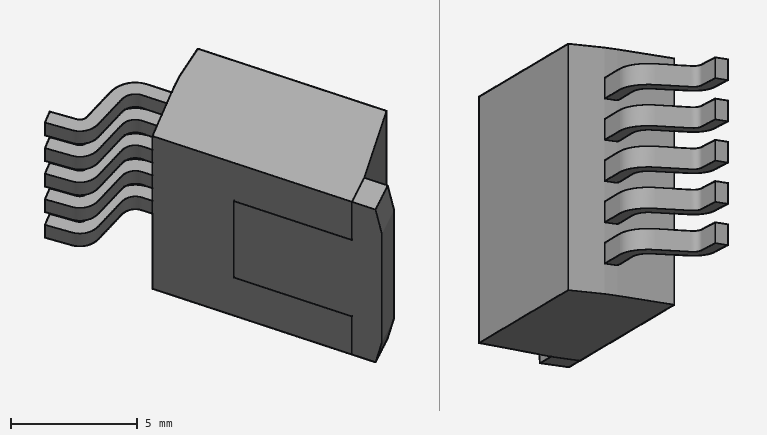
import cadquery as cq
import math


overall_length = 14.35
overall_thickness = 4.8
package_width = 10.16

housing_thickness = 4.65
housing_length = 8.64
housing_top_start = 0.16
housing_top_end = 8.21
housing_base_start = 0.13

slug_thickness = 1.28
tongue_start = 3.6
tongue_width = package_width / 2
tab_end = 9.92
tab_corner_start = 9.65
tab_end_width = 7.2

lead_count = 5
lead_row_span = 6.8
lead_pitch = lead_row_span / (lead_count - 1)
lead_width = 0.86
lead_thickness = 0.57
lead_bottom = 2.55
lead_top = lead_bottom + lead_thickness
lead_reach = tab_end - overall_length
foot_drop = overall_thickness - housing_thickness
shoulder_bend_x = -1.36
shoulder_inner_radius = 0.69
foot_inner_radius = 0.36
riser_lean = 15
foot_tilt = 3


def polar(center, radius, degrees):
    """Point at a distance and direction from a centre."""
    angle = math.radians(degrees)
    return (center[0] + radius * math.cos(angle), center[1] + radius * math.sin(angle))


def make_slug():
    """T-shaped plate: wide tab with tapered end corners, narrow tongue."""
    half_width = package_width / 2
    outline = [
        (tongue_start, -tongue_width / 2),
        (housing_length, -tongue_width / 2),
        (housing_length, -half_width),
        (tab_corner_start, -half_width),
        (tab_end, -tab_end_width / 2),
        (tab_end, tab_end_width / 2),
        (tab_corner_start, half_width),
        (housing_length, half_width),
        (housing_length, tongue_width / 2),
        (tongue_start, tongue_width / 2),
    ]
    return cq.Workplane("XZ").polyline(outline).close().extrude(-slug_thickness)


def make_housing(slug):
    """Drafted block with a recess for the slug tongue."""
    outline = [
        (housing_base_start, 0),
        (housing_length, 0),
        (housing_length, slug_thickness),
        (housing_top_end, housing_thickness),
        (housing_top_start, housing_thickness),
        (0, lead_top),
        (0, lead_bottom),
    ]
    block = cq.Workplane("XY").polyline(outline).close().extrude(package_width / 2, both=True)
    return block.cut(slug)


def make_lead(z_center):
    """Gull-wing lead of constant thickness: shoulder, leaning riser and tilted foot."""
    shoulder_outer_radius = shoulder_inner_radius + lead_thickness
    foot_outer_radius = foot_inner_radius + lead_thickness

    shoulder_start = 90
    shoulder_end = 180 - riser_lean
    shoulder_middle = (shoulder_start + shoulder_end) / 2
    foot_start = -riser_lean
    foot_end = foot_tilt - 90
    foot_middle = (foot_start + foot_end) / 2

    tip_bottom = (lead_reach + lead_thickness * math.sin(math.radians(foot_tilt)), -foot_drop)
    tip_top = polar(tip_bottom, lead_thickness, foot_tilt + 90)

    shoulder_center = (shoulder_bend_x, lead_bottom - shoulder_inner_radius)
    above_tip = polar(tip_bottom, foot_outer_radius, foot_tilt + 90)
    toward_riser = polar((0, 0), 1, shoulder_end)
    center_gap = shoulder_inner_radius + foot_outer_radius
    tip_gap = (
        (above_tip[0] - shoulder_center[0]) * toward_riser[0]
        + (above_tip[1] - shoulder_center[1]) * toward_riser[1]
    )
    foot_length = (tip_gap - center_gap) / math.cos(math.radians(shoulder_end - 180 - foot_tilt))
    foot_center = polar(above_tip, foot_length, foot_tilt)

    profile = (
        cq.Workplane("XY", origin=(0, 0, z_center))
        .moveTo(0, lead_top)
        .lineTo(shoulder_bend_x, lead_top)
        .threePointArc(
            polar(shoulder_center, shoulder_outer_radius, shoulder_middle),
            polar(shoulder_center, shoulder_outer_radius, shoulder_end),
        )
        .lineTo(*polar(foot_center, foot_inner_radius, foot_start))
        .threePointArc(
            polar(foot_center, foot_inner_radius, foot_middle),
            polar(foot_center, foot_inner_radius, foot_end),
        )
        .lineTo(*tip_top)
        .lineTo(*tip_bottom)
        .lineTo(*polar(foot_center, foot_outer_radius, foot_end))
        .threePointArc(
            polar(foot_center, foot_outer_radius, foot_middle),
            polar(foot_center, foot_outer_radius, foot_start),
        )
        .lineTo(*polar(shoulder_center, shoulder_inner_radius, shoulder_end))
        .threePointArc(
            polar(shoulder_center, shoulder_inner_radius, shoulder_middle),
            (shoulder_bend_x, lead_bottom),
        )
        .lineTo(0, lead_bottom)
        .close()
    )
    return profile.extrude(lead_width / 2, both=True)


slug = make_slug()
housing = make_housing(slug)
leads = []
for index in range(lead_count):
    leads.append(make_lead(index * lead_pitch - lead_row_span / 2))

result = cq.Compound.makeCompound([housing.val(), slug.val(), *[lead.val() for lead in leads]])